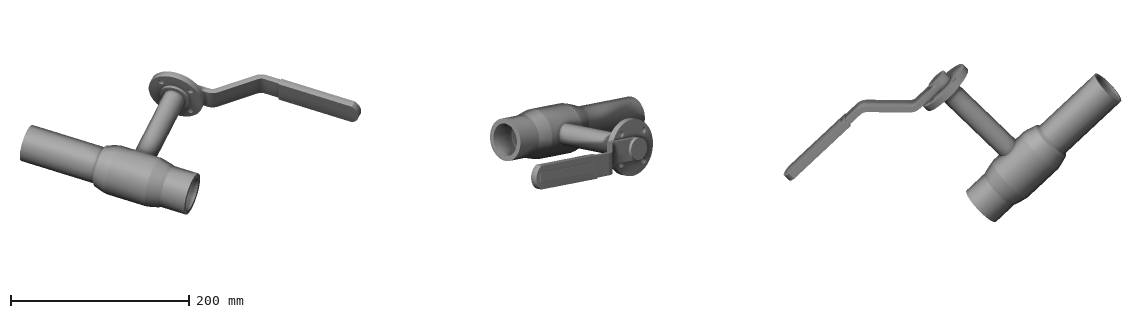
import cadquery as cq
import math


body_dia = 57.0
neck_dia = 48.3
pipe_dia = 42.5
ball_bore_dia = 25.0
pipe_bore_dia = 37.0
bore_end_dia = 35.0

pipe_end_x = -129.8
pipe_length = 87.5
collar_length = 2.5
body_length = 47.5
body_end_x = body_length / 2
body_start_x = -body_end_x
shoulder_bulge = 0.5
neck_start_x = 40.7
neck_end_x = 70.0

stem_dia = 25.0
ring_dia = 35.0
flange_dia = 65.0
ring_start_y = 121.5
flange_start_y = 124.5
flange_end_y = 132.0
hole_dia = 7.0
hole_circle_dia = 49.5
hole_count = 4
first_hole_angle = 45.0

hub_end_y = 142.5
hub_fillet = 2.0
strap_width = stem_dia
strap_thickness = 6.3
strap_start_y = 133.5
strap_rise = 41.7
crank_angle = 45.0
bend_radius = 9.5
crank_end_x = 87.0

grip_start_x = 104.5
grip_end_x = 201.2
grip_nose_length = 8.0
grip_width = 27.0
grip_start_y = 173.5
grip_end_y = 182.0
band_start_x = 110.5
band_length = 84.7
band_width = 10.0
band_height = 1.0


def cylinder_y(diameter, start_y, end_y):
    """Round bar on the stem axis."""
    plane = cq.Workplane("XZ", origin=(0, start_y, 0))
    return plane.circle(diameter / 2).extrude(start_y - end_y)


def shoulder_midpoint(wide_x, narrow_x):
    """Middle point of a slightly bulging shoulder arc."""
    return (wide_x + narrow_x) / 2, (body_dia + neck_dia) / 4 + shoulder_bulge


def make_housing():
    """Outer shape of the pipe and the housing, revolved about X."""
    pipe_stop_x = pipe_end_x + pipe_length
    shoulder_x = pipe_stop_x + collar_length
    profile = (
        cq.Workplane("XY")
        .moveTo(pipe_end_x, 0)
        .lineTo(pipe_end_x, pipe_dia / 2)
        .lineTo(pipe_stop_x, pipe_dia / 2)
        .lineTo(shoulder_x, neck_dia / 2)
        .threePointArc(shoulder_midpoint(body_start_x, shoulder_x), (body_start_x, body_dia / 2))
        .lineTo(body_end_x, body_dia / 2)
        .threePointArc(shoulder_midpoint(body_end_x, neck_start_x), (neck_start_x, neck_dia / 2))
        .lineTo(neck_end_x, neck_dia / 2)
        .lineTo(neck_end_x, 0)
        .close()
    )
    return profile.revolve(360, (0, 0, 0), (1, 0, 0))


def make_flow_bore():
    """Bored pipe ends joined by the narrower bore through the ball."""
    left_stop_x = pipe_end_x + pipe_length
    end_taper = (pipe_bore_dia - bore_end_dia) / 2
    profile = (
        cq.Workplane("XY")
        .moveTo(pipe_end_x, 0)
        .lineTo(pipe_end_x, pipe_bore_dia / 2)
        .lineTo(left_stop_x - end_taper, pipe_bore_dia / 2)
        .lineTo(left_stop_x, bore_end_dia / 2)
        .lineTo(left_stop_x, ball_bore_dia / 2)
        .lineTo(neck_start_x, ball_bore_dia / 2)
        .lineTo(neck_start_x, bore_end_dia / 2)
        .lineTo(neck_start_x + end_taper, pipe_bore_dia / 2)
        .lineTo(neck_end_x, pipe_bore_dia / 2)
        .lineTo(neck_end_x, 0)
        .close()
    )
    return profile.revolve(360, (0, 0, 0), (1, 0, 0))


def make_flange_holes():
    """Bolt holes through the flange, on the diagonals."""
    return (
        cq.Workplane("XZ", origin=(0, flange_start_y, 0))
        .polarArray(hole_circle_dia / 2, first_hole_angle, 360, hole_count)
        .circle(hole_dia / 2)
        .extrude(flange_start_y - flange_end_y)
    )


def make_valve():
    stem = cylinder_y(stem_dia, 0, flange_end_y)
    ring = cylinder_y(ring_dia, ring_start_y, flange_start_y)
    flange = cylinder_y(flange_dia, flange_start_y, flange_end_y).cut(make_flange_holes())
    return make_housing().union(stem).union(ring).union(flange).cut(make_flow_bore())


def make_strap():
    """Flat strap that runs level, cranks outward and runs level again."""
    angle = math.radians(crank_angle)
    outer_radius = bend_radius + strap_thickness
    bend_tangent = (bend_radius + strap_thickness / 2) * math.tan(angle / 2)
    corner_shift = strap_thickness / 2 * math.tan(angle / 2)
    high_corner_x = crank_end_x - bend_tangent
    low_corner_x = high_corner_x - strap_rise / math.tan(angle)
    low_bottom_y = strap_start_y
    low_top_y = low_bottom_y + strap_thickness
    high_bottom_y = low_bottom_y + strap_rise
    high_top_y = high_bottom_y + strap_thickness

    low_outside = (low_corner_x + corner_shift, low_bottom_y)
    low_inside = (low_corner_x - corner_shift, low_top_y)
    high_inside = (high_corner_x + corner_shift, high_bottom_y)
    high_outside = (high_corner_x - corner_shift, high_top_y)
    strap = (
        cq.Workplane("XY", origin=(0, 0, -strap_width / 2))
        .moveTo(0, low_bottom_y)
        .lineTo(*low_outside)
        .lineTo(*high_inside)
        .lineTo(grip_start_x, high_bottom_y)
        .lineTo(grip_start_x, high_top_y)
        .lineTo(*high_outside)
        .lineTo(*low_inside)
        .lineTo(0, low_top_y)
        .close()
        .extrude(strap_width)
    )
    for corners, radius in (
        ((low_inside, high_inside), bend_radius),
        ((low_outside, high_outside), outer_radius),
    ):
        for x, y in corners:
            strap = strap.edges(cq.NearestToPointSelector((x, y, 0))).fillet(radius)
    return strap


def make_grip():
    """Handle grip with a rounded free end and a raised band along its back."""
    nose_start_x = grip_end_x - grip_nose_length
    half_width = grip_width / 2
    grip = (
        cq.Workplane("XZ", origin=(0, grip_start_y, 0))
        .moveTo(grip_start_x, -half_width)
        .lineTo(nose_start_x, -half_width)
        .threePointArc((grip_end_x, 0), (nose_start_x, half_width))
        .lineTo(grip_start_x, half_width)
        .close()
        .extrude(grip_start_y - grip_end_y)
    )
    band = cq.Workplane("XY").box(band_length, band_height, band_width, centered=(False, False, True))
    return grip.union(band.translate((band_start_x, grip_end_y, 0)))


def make_hub():
    """Round hub with a fillet around the half that meets the strap."""
    hub_radius = stem_dia / 2
    strap_top_y = strap_start_y + strap_thickness
    arc_offset = hub_fillet * (1 - math.sqrt(0.5))
    fillet_ring = (
        cq.Workplane("XY")
        .moveTo(0, strap_top_y)
        .lineTo(hub_radius + hub_fillet, strap_top_y)
        .threePointArc(
            (hub_radius + arc_offset, strap_top_y + arc_offset),
            (hub_radius, strap_top_y + hub_fillet),
        )
        .lineTo(0, strap_top_y + hub_fillet)
        .close()
        .revolve(360, (0, 0, 0), (0, 1, 0))
    )
    strap_zone = (
        cq.Workplane("XY", origin=(0, strap_top_y, 0))
        .box(hub_radius + hub_fillet, hub_fillet, strap_width, centered=(False, False, True))
    )
    return cylinder_y(stem_dia, flange_end_y, hub_end_y).union(fillet_ring.intersect(strap_zone))


def make_lever():
    return make_hub().union(make_strap()).union(make_grip())


valve = make_valve()
lever = make_lever()

result = cq.Compound.makeCompound([valve.val(), lever.val()])